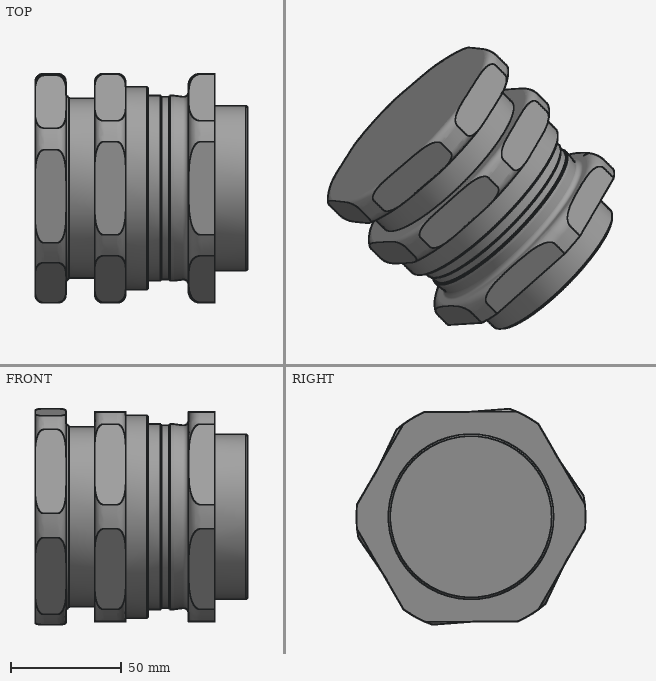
import cadquery as cq
import math


HEX_ACROSS_FLATS = 95.0
HEX_BLANK_RADIUS = 104 / 2
CAP_HEX_TILT = 4.4

CAP_HEX_END = 14.0
CAP_FLARE_END = 15.4
CAP_LIP_END = 15.6
MIDDLE_HEX_START = 27
MIDDLE_HEX_END = 41.1
MIDDLE_COLLAR_END = 51.3
RING_START = 57.1
RING_END = 60.9
TAPER_START = 62.9
TAPER_END = 67.3
ENTRY_HEX_START = 69.5
ENTRY_HEX_END = 81.5
TOTAL_LENGTH = 96.5

CAP_LIP_RADIUS = 81.9 / 2
CAP_FLARE_RADIUS = CAP_LIP_RADIUS + CAP_FLARE_END - CAP_HEX_END
SLEEVE_RADIUS = 81.6 / 2
COLLAR_RADIUS = 92.2 / 2
ENTRY_RADIUS = 84.1 / 2
RING_RADIUS = 83.0 / 2
RING_BORE_RADIUS = 78.9 / 2
NECK_RADIUS = RING_RADIUS
SPIGOT_RADIUS = 75.0 / 2

HEX_ROUNDING = 4.0
ENTRY_HEX_ROUNDING = 5.5
COLLAR_CHAMFER = 0.7
GROOVE_CHAMFER = 0.4
RING_CHAMFER = 0.3
SPIGOT_CHAMFER = 0.9


def cylinder(start, end, radius):
    """Round bar along X from start to end."""
    return cq.Workplane("YZ").workplane(offset=start).circle(radius).extrude(end - start)


def hexagon(start, end, tilt=0):
    """Hexagonal bar along X with flats facing up and down, turned by tilt degrees."""
    across_corners = HEX_ACROSS_FLATS / math.cos(math.pi / 6)
    bar = cq.Workplane("YZ").workplane(offset=start).polygon(6, across_corners).extrude(end - start)
    return bar.rotate((0, 0, 0), (1, 0, 0), tilt)


def cove(face, radius, width):
    """Stub between face and face + width, flaring out to the face with a concave fillet."""
    fillet = abs(width)
    near = 1 - math.sqrt(0.5)
    return (
        cq.Workplane("XY")
        .moveTo(face, 0)
        .lineTo(face, radius + fillet)
        .threePointArc((face + near * width, radius + near * fillet), (face + width, radius))
        .lineTo(face + width, 0)
        .close()
        .revolve(360, (0, 0, 0), (1, 0, 0))
    )


def cone(start, end, start_radius, end_radius):
    """Tapered round bar along X."""
    return (
        cq.Workplane("XY")
        .moveTo(start, 0)
        .lineTo(start, start_radius)
        .lineTo(end, end_radius)
        .lineTo(end, 0)
        .close()
        .revolve(360, (0, 0, 0), (1, 0, 0))
    )


def make_cap_nut():
    """Closed hexagonal nut with a short flared lip behind it."""
    blank = cylinder(0, CAP_HEX_END, HEX_BLANK_RADIUS).edges().fillet(HEX_ROUNDING)
    head = blank.intersect(hexagon(0, CAP_HEX_END, CAP_HEX_TILT))
    lip = cylinder(CAP_HEX_END, CAP_LIP_END, CAP_LIP_RADIUS)
    return head.union(lip).union(cone(CAP_HEX_END, CAP_FLARE_END, CAP_FLARE_RADIUS, CAP_LIP_RADIUS))


def make_middle_body():
    """Sleeve, hexagon and round collar; the sleeve ends against the cap nut."""
    sleeve = cylinder(CAP_LIP_END, MIDDLE_HEX_START, SLEEVE_RADIUS)
    blank = cylinder(MIDDLE_HEX_START, MIDDLE_HEX_END, HEX_BLANK_RADIUS).edges().fillet(HEX_ROUNDING)
    head = blank.intersect(hexagon(MIDDLE_HEX_START, MIDDLE_HEX_END))
    collar = cylinder(MIDDLE_HEX_END, MIDDLE_COLLAR_END, COLLAR_RADIUS).edges(">X").chamfer(COLLAR_CHAMFER)
    return sleeve.union(head).union(collar)


def make_sealing_ring():
    """Ring with broken edges that fills the groove of the entry body."""
    ring = cylinder(RING_START, RING_END, RING_RADIUS).edges().chamfer(RING_CHAMFER)
    return ring.cut(cylinder(RING_START, RING_END, RING_BORE_RADIUS))


def make_entry_body():
    """Grooved barrel, tapered neck, hexagon and spigot."""
    rear = cylinder(MIDDLE_COLLAR_END, RING_START, ENTRY_RADIUS).edges(">X").chamfer(GROOVE_CHAMFER)
    groove_floor = cylinder(RING_START, RING_END, RING_BORE_RADIUS)
    front = cylinder(RING_END, TAPER_START, ENTRY_RADIUS).edges("<X").chamfer(GROOVE_CHAMFER)
    taper = cone(TAPER_START, TAPER_END, ENTRY_RADIUS, NECK_RADIUS)
    flare = cove(ENTRY_HEX_START, NECK_RADIUS, TAPER_END - ENTRY_HEX_START)
    blank = cylinder(ENTRY_HEX_START, ENTRY_HEX_END, HEX_BLANK_RADIUS).edges("<X").fillet(ENTRY_HEX_ROUNDING)
    head = blank.intersect(hexagon(ENTRY_HEX_START, ENTRY_HEX_END))
    spigot = cylinder(ENTRY_HEX_END, TOTAL_LENGTH, SPIGOT_RADIUS).edges(">X").chamfer(SPIGOT_CHAMFER)
    body = rear
    for part in (groove_floor, front, taper, flare, head, spigot):
        body = body.union(part)
    return body


cap_nut = make_cap_nut()
middle_body = make_middle_body()
sealing_ring = make_sealing_ring()
entry_body = make_entry_body()

result = cq.Compound.makeCompound(
    [cap_nut.val(), middle_body.val(), sealing_ring.val(), entry_body.val()]
)